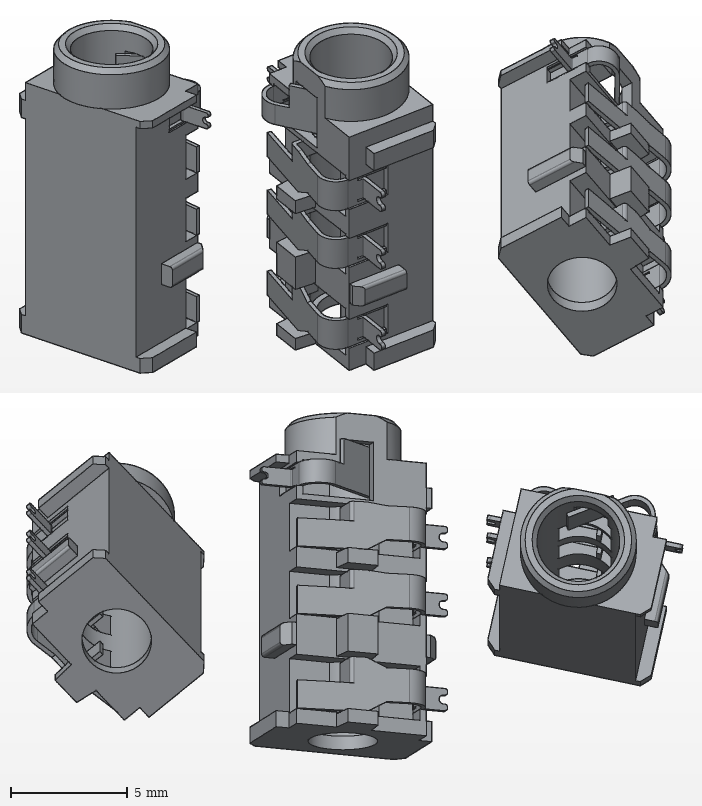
import cadquery as cq
import math


TOTAL_HEIGHT = 14.0
TOTAL_DEPTH = 5.7
BODY_HEIGHT = 12.11
BODY_HALF_X = 3.0
BACK_Y = 2.2
BARREL_RADIUS = 5.0 / 2
RIM_CHAMFER_WIDTH = 0.21
RIM_CHAMFER_HEIGHT = 0.24
BORE_RADIUS = 1.78
THROAT_RADIUS = 1.5
FLOOR_THICKNESS = 0.6

LUG_REACH_X = 3.6
LUG_BACK_Y = 1.32
LUG_CHAMFER = 0.39
FOOT_LUG_HEIGHT_LEFT = 0.9
FOOT_LUG_HEIGHT_RIGHT = 0.71
HEAD_LUG_LEFT = (10.36, 11.25)
HEAD_LUG_RIGHT = (11.76, BODY_HEIGHT)
MIDDLE_LUG = (3.5, 4.5)
MIDDLE_LUG_FRONT_Y = -0.4
MIDDLE_LUG_SETBACK = 0.03
MIDDLE_LUG_BACK_Y = BACK_Y - MIDDLE_LUG_SETBACK
MIDDLE_LUG_FILLET = 0.14

RIB_BACK_Y = TOTAL_DEPTH - BARREL_RADIUS
RIB_LEFT_X = -0.46
RIB_RIGHT_X = 1.15
RIB_TAPER_LEFT = 0.08
RIB_TAPER_RIGHT = 0.13
RIB_LEVELS = [(0.0, FLOOR_THICKNESS), (3.15, 4.83), (7.08, 7.75)]

SHEET = 0.2
PLATE_OUTER_X = 2.9
PLATE_INNER_X = PLATE_OUTER_X - SHEET
PLATE_FRONT_Y = 0.17
ARCH_RADIUS = 0.9
TERMINAL_TIP_X = 4.3
TERMINAL_BACK_Y = 1.4
TERMINAL_BEND_RADIUS = 0.04
RELIEF_BACK_Y = 1.67

RING_CONTACTS = [(9.1, 0.87), (6.1, 0.84), (1.9, 1.16)]
RING_PLATE_HALF_Z = 1.5 / 2
RING_WINDOW_HALF_Z = 1.16 / 2
RING_TERMINAL_HALF_Z = 1.0 / 2
RING_NOTCH_RADIUS = 0.2
RING_NOTCH_DEPTH = 0.39
RING_PRONG_FILLET = 0.133
RING_DROP_ANGLE = 9.0
LEAF_DEPTH_BELOW = 1.25
FLARE_START_X = -0.9
FLARE_END_X = -0.01
TONGUE_FACE_X = 0.69
TONGUE_BEND_RADIUS = 0.17

SLEEVE_Z = 11.09
SLEEVE_PLATE_HALF_Z = 1.04 / 2
SLEEVE_WINDOW_HALF_Z = 0.87 / 2
SLEEVE_TERMINAL_HALF_Z = 0.77 / 2
SLEEVE_NOTCH_RADIUS = 0.15
SLEEVE_NOTCH_DEPTH = 0.3
SLEEVE_PRONG_FILLET = 0.105
SLEEVE_DROP_ANGLE = 34.0
SLEEVE_LEAF_LENGTH = 2.8
SLEEVE_TIP_TOP_Z = 12.75
SLEEVE_TIP_START = 0.65

POCKET_FLOOR_Y = 1.36
SLEEVE_POCKET_LEVELS = (10.22, 11.73)
TIP_WINDOW_LEFT_X = -0.56
TIP_WINDOW_RIGHT_X = 0.98
TIP_WINDOW_TOP_Z = 12.81

ARCH_X = PLATE_OUTER_X - ARCH_RADIUS
BEYOND = TOTAL_HEIGHT


def block(x_range, y_range, z_range):
    """Box between two limits on each axis."""
    limits = (x_range, y_range, z_range)
    sizes = [high - low for low, high in limits]
    corner = tuple(low for low, high in limits)
    return cq.Workplane().box(*sizes, centered=False).translate(corner)


def mirrored(shape):
    """Same shape on the other side of the YZ plane."""
    return shape.mirror("YZ")



def barrel():
    """Round collar with a chamfered rim, cut flat along the back of the body."""
    outside = (
        cq.Workplane("XZ")
        .polyline([
            (0, BODY_HEIGHT),
            (BARREL_RADIUS, BODY_HEIGHT),
            (BARREL_RADIUS, TOTAL_HEIGHT - RIM_CHAMFER_HEIGHT),
            (BARREL_RADIUS - RIM_CHAMFER_WIDTH, TOTAL_HEIGHT),
            (0, TOTAL_HEIGHT),
        ])
        .close()
        .revolve(360, (0, 0), (0, 1))
    )
    flat_back = block((-BEYOND, BEYOND), (-BEYOND, BACK_Y), (0, BEYOND))
    return outside.intersect(flat_back)


def bore():
    """Stepped hole through the barrel and body, flared at the mouth."""
    mouth_radius = BORE_RADIUS + RIM_CHAMFER_WIDTH
    return (
        cq.Workplane("XZ")
        .polyline([
            (0, 0),
            (THROAT_RADIUS, 0),
            (THROAT_RADIUS, FLOOR_THICKNESS),
            (BORE_RADIUS, FLOOR_THICKNESS),
            (BORE_RADIUS, TOTAL_HEIGHT - RIM_CHAMFER_HEIGHT),
            (mouth_radius, TOTAL_HEIGHT),
            (0, TOTAL_HEIGHT),
        ])
        .close()
        .revolve(360, (0, 0), (0, 1))
    )


def end_lug(levels):
    """Lug on the +X side, flush with the front and chamfered at its front corner."""
    lug = block((0, LUG_REACH_X), (-BACK_Y, LUG_BACK_Y), levels)
    return lug.edges("|Z and >X and <Y").chamfer(LUG_CHAMFER)


def middle_lug():
    """Lug on the +X side with a chamfered back corner and rounded outer edges."""
    lug = block((0, LUG_REACH_X), (MIDDLE_LUG_FRONT_Y, MIDDLE_LUG_BACK_Y), MIDDLE_LUG)
    lug = lug.edges("|Y and >X").fillet(MIDDLE_LUG_FILLET)
    corner = (
        cq.Workplane()
        .polyline([
            (LUG_REACH_X, MIDDLE_LUG_BACK_Y),
            (LUG_REACH_X - LUG_CHAMFER, MIDDLE_LUG_BACK_Y),
            (LUG_REACH_X, MIDDLE_LUG_BACK_Y - LUG_CHAMFER),
        ])
        .close()
        .extrude(BODY_HEIGHT)
    )
    return lug.cut(corner)


def back_rib(bottom, top):
    """Rib on the back of the body, tapering away from it."""
    return (
        cq.Workplane()
        .workplane(offset=bottom)
        .polyline([
            (RIB_LEFT_X, BACK_Y),
            (RIB_RIGHT_X, BACK_Y),
            (RIB_RIGHT_X - RIB_TAPER_RIGHT, RIB_BACK_Y),
            (RIB_LEFT_X + RIB_TAPER_LEFT, RIB_BACK_Y),
        ])
        .close()
        .extrude(top - bottom)
    )


def plate_recess(centre_z, half_z):
    """Recess in the -X side that holds the plate of a contact."""
    return block(
        (-BODY_HALF_X, -PLATE_INNER_X),
        (PLATE_FRONT_Y, BACK_Y),
        (centre_z - half_z, centre_z + half_z),
    )


def make_housing():
    body = block((-BODY_HALF_X, BODY_HALF_X), (-BACK_Y, BACK_Y), (0, BODY_HEIGHT)).union(barrel())

    body = body.union(end_lug((0, FOOT_LUG_HEIGHT_RIGHT))).union(end_lug(HEAD_LUG_RIGHT))
    body = body.union(mirrored(end_lug((0, FOOT_LUG_HEIGHT_LEFT)))).union(mirrored(end_lug(HEAD_LUG_LEFT)))
    body = body.union(middle_lug()).union(mirrored(middle_lug()))
    for bottom, top in RIB_LEVELS:
        body = body.union(back_rib(bottom, top))

    body = body.cut(bore())

    for centre_z, leaf_height in RING_CONTACTS:
        pocket = block(
            (-PLATE_INNER_X, BODY_HALF_X),
            (POCKET_FLOOR_Y, BACK_Y),
            (centre_z - LEAF_DEPTH_BELOW, centre_z + leaf_height),
        )
        body = body.cut(pocket).cut(plate_recess(centre_z, RING_PLATE_HALF_Z))

    sleeve_pocket = block(
        (TIP_WINDOW_LEFT_X, PLATE_INNER_X), (POCKET_FLOOR_Y, BACK_Y), SLEEVE_POCKET_LEVELS
    )
    tip_window = block(
        (TIP_WINDOW_LEFT_X, TIP_WINDOW_RIGHT_X),
        (POCKET_FLOOR_Y, BACK_Y),
        (SLEEVE_POCKET_LEVELS[0], TIP_WINDOW_TOP_Z),
    )
    body = body.cut(sleeve_pocket).cut(tip_window)
    return body.cut(mirrored(plate_recess(SLEEVE_Z, SLEEVE_PLATE_HALF_Z)))



def arch_point(radius, angle):
    """Point on the -X arch, with the angle in degrees measured from +X."""
    turn = math.radians(angle)
    return (-ARCH_X + radius * math.cos(turn), BACK_Y + radius * math.sin(turn))


def along_leaf(point, drop_angle, length):
    """Point reached by following the dropping leaf."""
    turn = math.radians(drop_angle)
    return (point[0] + length * math.cos(turn), point[1] - length * math.sin(turn))


def bent_strip(drop_angle, leaf_length):
    """Plate, arch and straight leaf on the -X side, as tall as the housing."""
    inner_radius = ARCH_RADIUS - SHEET
    leaf_angle = 90 - drop_angle
    middle_angle = (180 + leaf_angle) / 2
    outer_end = along_leaf(arch_point(ARCH_RADIUS, leaf_angle), drop_angle, leaf_length)
    inner_end = along_leaf(arch_point(inner_radius, leaf_angle), drop_angle, leaf_length)
    return (
        cq.Workplane()
        .moveTo(-PLATE_OUTER_X, PLATE_FRONT_Y)
        .lineTo(-PLATE_OUTER_X, BACK_Y)
        .threePointArc(arch_point(ARCH_RADIUS, middle_angle), arch_point(ARCH_RADIUS, leaf_angle))
        .lineTo(*outer_end)
        .lineTo(*inner_end)
        .lineTo(*arch_point(inner_radius, leaf_angle))
        .threePointArc(arch_point(inner_radius, middle_angle), (-PLATE_INNER_X, BACK_Y))
        .lineTo(-PLATE_INNER_X, PLATE_FRONT_Y)
        .close()
        .extrude(TOTAL_HEIGHT)
    )


def cut_to_outline(strip, outline):
    """Keep the part of a strip inside an outline of (X, Z) points."""
    prism = cq.Workplane("XZ").polyline(outline).close().extrude(BEYOND, both=True)
    return strip.intersect(prism)


def terminal(centre_z, half_z, notch_radius, notch_depth, prong_fillet):
    """Solder tab bent out of the -X plate, with a round-ended notch between two rounded prongs."""
    front_y = TERMINAL_BACK_Y - SHEET
    bend_x = -PLATE_OUTER_X - TERMINAL_BEND_RADIUS
    bend_y = TERMINAL_BACK_Y + TERMINAL_BEND_RADIUS
    inside_reach = TERMINAL_BEND_RADIUS * math.sqrt(0.5)
    outside_reach = (TERMINAL_BEND_RADIUS + SHEET) * math.sqrt(0.5)
    tab = (
        cq.Workplane()
        .workplane(offset=centre_z - half_z)
        .moveTo(-TERMINAL_TIP_X, front_y)
        .lineTo(bend_x, front_y)
        .threePointArc((bend_x + outside_reach, bend_y - outside_reach), (-PLATE_INNER_X, bend_y))
        .lineTo(-PLATE_INNER_X, RELIEF_BACK_Y)
        .lineTo(-PLATE_OUTER_X, RELIEF_BACK_Y)
        .lineTo(-PLATE_OUTER_X, bend_y)
        .threePointArc((bend_x + inside_reach, bend_y - inside_reach), (bend_x, TERMINAL_BACK_Y))
        .lineTo(-TERMINAL_TIP_X, TERMINAL_BACK_Y)
        .close()
        .extrude(2 * half_z)
    )
    notch_end_x = -TERMINAL_TIP_X + notch_depth - notch_radius
    notch = block(
        (-BEYOND, notch_end_x), (0, BACK_Y), (centre_z - notch_radius, centre_z + notch_radius)
    )
    notch_end = (
        cq.Workplane("XZ").center(notch_end_x, centre_z).circle(notch_radius).extrude(-BACK_Y)
    )
    return tab.cut(notch).cut(notch_end).edges("|Y and <X").fillet(prong_fillet)


def plate_window(centre_z, half_z):
    """Opening in the -X plate around the terminal and its root."""
    return block(
        (-PLATE_OUTER_X, -PLATE_INNER_X),
        (PLATE_FRONT_Y, RELIEF_BACK_Y),
        (centre_z - half_z, centre_z + half_z),
    )


def tongue(bottom, top):
    """End of a ring contact's leaf, bent forward into the bore."""
    leaf_start = arch_point(ARCH_RADIUS, 90 - RING_DROP_ANGLE)
    slope = math.tan(math.radians(RING_DROP_ANGLE))
    sheet_in_y = SHEET / math.cos(math.radians(RING_DROP_ANGLE))
    inner_face_x = TONGUE_FACE_X - SHEET

    def leaf_y(x):
        return leaf_start[1] - slope * (x - leaf_start[0])

    bent_sheet = (
        cq.Workplane()
        .workplane(offset=bottom)
        .polyline([
            (FLARE_END_X, leaf_y(FLARE_END_X)),
            (TONGUE_FACE_X, leaf_y(TONGUE_FACE_X)),
            (TONGUE_FACE_X, TERMINAL_BACK_Y),
            (inner_face_x, TERMINAL_BACK_Y),
            (inner_face_x, leaf_y(inner_face_x) - sheet_in_y),
            (FLARE_END_X, leaf_y(FLARE_END_X) - sheet_in_y),
        ])
        .close()
        .extrude(top - bottom)
    )
    return bent_sheet.edges("|Z").edges(">X").edges(">Y").fillet(TONGUE_BEND_RADIUS)


def make_ring_contact(centre_z, leaf_height):
    """Contact on the -X side whose tongue touches the inserted plug."""
    leaf_start = arch_point(ARCH_RADIUS, 90 - RING_DROP_ANGLE)
    leaf_length = (BODY_HALF_X - leaf_start[0]) / math.cos(math.radians(RING_DROP_ANGLE))
    plate_top = centre_z + RING_PLATE_HALF_Z
    plate_bottom = centre_z - RING_PLATE_HALF_Z
    leaf_top = centre_z + leaf_height
    leaf_bottom = centre_z - LEAF_DEPTH_BELOW

    strip = cut_to_outline(bent_strip(RING_DROP_ANGLE, leaf_length), [
        (-BODY_HALF_X, plate_top),
        (FLARE_START_X, plate_top),
        (FLARE_END_X, leaf_top),
        (FLARE_END_X, centre_z),
        (BODY_HALF_X, centre_z),
        (BODY_HALF_X, leaf_bottom),
        (FLARE_END_X, leaf_bottom),
        (FLARE_START_X, plate_bottom),
        (-BODY_HALF_X, plate_bottom),
    ])
    tab = terminal(
        centre_z, RING_TERMINAL_HALF_Z, RING_NOTCH_RADIUS, RING_NOTCH_DEPTH, RING_PRONG_FILLET
    )
    strip = strip.cut(plate_window(centre_z, RING_WINDOW_HALF_Z))
    return strip.union(tongue(centre_z, leaf_top)).union(tab)


def sleeve_tip(bottom):
    """Taller end of the sleeve contact's leaf, shaped on the -X side."""
    leaf_angle = 90 - SLEEVE_DROP_ANGLE
    outer = arch_point(ARCH_RADIUS, leaf_angle)
    inner = arch_point(ARCH_RADIUS - SHEET, leaf_angle)
    return (
        cq.Workplane()
        .workplane(offset=bottom)
        .polyline([
            along_leaf(outer, SLEEVE_DROP_ANGLE, SLEEVE_TIP_START),
            along_leaf(outer, SLEEVE_DROP_ANGLE, SLEEVE_LEAF_LENGTH),
            along_leaf(inner, SLEEVE_DROP_ANGLE, SLEEVE_LEAF_LENGTH),
            along_leaf(inner, SLEEVE_DROP_ANGLE, SLEEVE_TIP_START),
        ])
        .close()
        .extrude(SLEEVE_TIP_TOP_Z - bottom)
    )


def make_sleeve_contact():
    plate_top = SLEEVE_Z + SLEEVE_PLATE_HALF_Z
    plate_bottom = SLEEVE_Z - SLEEVE_PLATE_HALF_Z

    strip = bent_strip(SLEEVE_DROP_ANGLE, SLEEVE_LEAF_LENGTH).intersect(
        block((-BEYOND, BEYOND), (-BEYOND, BEYOND), (plate_bottom, plate_top))
    )
    strip = strip.union(sleeve_tip(plate_bottom))
    tab = terminal(
        SLEEVE_Z, SLEEVE_TERMINAL_HALF_Z, SLEEVE_NOTCH_RADIUS, SLEEVE_NOTCH_DEPTH, SLEEVE_PRONG_FILLET
    )
    strip = strip.cut(plate_window(SLEEVE_Z, SLEEVE_WINDOW_HALF_Z))
    return mirrored(strip.union(tab))


housing = make_housing()
ring_contacts = [make_ring_contact(centre_z, leaf_height) for centre_z, leaf_height in RING_CONTACTS]
sleeve_contact = make_sleeve_contact()

result = cq.Compound.makeCompound([
    housing.solids().val(),
    *[contact.solids().val() for contact in ring_contacts],
    sleeve_contact.solids().val(),
])